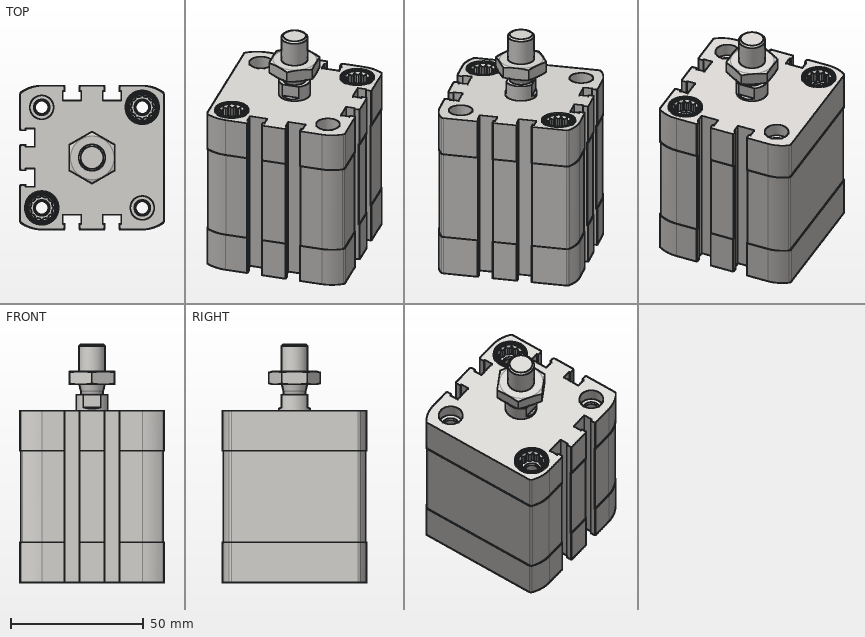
import cadquery as cq
import math

total_height = 90.1

width = 54.5
body_height = 65.05
cap_height = 15.2
barrel_inset = 0.3
corner_drop = 2.8
corner_edge_radius = 1.2

slot_spacing = 15.1
slot_mouth_width = 5.5
slot_mouth_radius = 0.3
slot_inner_width = 6.85
slot_lip_depth = 2.2
slot_depth = 5.6

hole_spacing = 38.0
through_diameter = 5.0
countersink_diameter = 6.0
counterbore_diameter = 9.0
counterbore_depth = 5.05

sleeve_bore_diameter = 12.8
sleeve_diameter = 11.9
sleeve_crest_diameter = 11.0
sleeve_gap_depth = 0.7
sleeve_recess = 0.3
socket_entry_diameter = 10.0
socket_entry_depth = 1.35
socket_tip_diameter = 8.2
socket_root_diameter = 9.4
socket_teeth = 12
tooth_tip_half_angle = 6.0

rod_diameter = 12.0
rod_collar_height = 6.0
rod_insertion = cap_height
flats_width = 10.0
flats_start = 0.7
flats_runout = 0.5
neck_base_diameter = 8.65
neck_diameter = 8.5
neck_top_diameter = 8.6
neck_base_taper_length = 0.6
neck_straight_length = 0.5
neck_top_taper_length = 0.3
flare_top_diameter = 9.7
thread_diameter = 10.0
thread_chamfer = 0.7

nut_sides = 6
nut_width = 17.0
nut_height = 5.0
nut_start = 9.9
nut_face_diameter = 16.5
nut_chamfer_angle = 15.0

half_width = width / 2
hole_offset = hole_spacing / 2
collar_top = body_height + rod_collar_height
nut_bottom = body_height + nut_start
nut_top = nut_bottom + nut_height
plain_hole_corners = [(-hole_offset, hole_offset), (hole_offset, -hole_offset)]
sleeve_corners = [(-hole_offset, -hole_offset), (hole_offset, hole_offset)]
slotted_face_angles = [0, 180, -90]


def cylinder(diameter, bottom, top):
    return cq.Workplane("XY").workplane(offset=bottom).circle(diameter / 2).extrude(top - bottom)


def cone(bottom_diameter, top_diameter, bottom, top):
    return cq.Workplane(
        cq.Solid.makeCone(
            bottom_diameter / 2, top_diameter / 2, top - bottom, cq.Vector(0, 0, bottom)
        )
    )


def outline_prism(inset, bottom, height):
    """Square prism whose corners are broad arcs tangent to the Y faces, its faces moved in by inset."""
    side = half_width - inset
    arc_end_y = half_width - corner_drop
    run = side - hole_offset
    drop = side - arc_end_y
    radius = (run**2 + drop**2) / (2 * drop)
    middle_angle = math.asin(run / radius) / 2
    arc_middle = (
        hole_offset + radius * math.sin(middle_angle),
        side - radius * (1 - math.cos(middle_angle)),
    )
    blank = cq.Workplane("XY").box(2 * side, 2 * side, height, centered=(True, True, False))
    corner_waste = (
        cq.Workplane("XY")
        .moveTo(hole_offset, side)
        .threePointArc(arc_middle, (side, arc_end_y))
        .lineTo(side, side)
        .close()
        .extrude(height)
    )
    upper_waste = corner_waste.union(corner_waste.mirror("YZ"))
    blank = blank.cut(upper_waste).cut(upper_waste.mirror("XZ"))
    blank = blank.edges("|Z").edges("<X or >X").fillet(corner_edge_radius)
    return blank.translate((0, 0, bottom))


def slot_cutter(inset, bottom, height):
    """T slot with a rounded mouth, opening on the -Y face and centred on X = 0."""
    face_y = inset - half_width
    lip_y = slot_lip_depth - half_width
    floor_y = slot_depth - half_width
    mouth = slot_mouth_width / 2
    flare = mouth + slot_mouth_radius
    inner = slot_inner_width / 2
    return (
        cq.Workplane("XY")
        .workplane(offset=bottom)
        .moveTo(-flare, face_y)
        .radiusArc((-mouth, face_y + slot_mouth_radius), slot_mouth_radius)
        .lineTo(-mouth, lip_y)
        .lineTo(-inner, lip_y)
        .lineTo(-inner, floor_y)
        .lineTo(inner, floor_y)
        .lineTo(inner, lip_y)
        .lineTo(mouth, lip_y)
        .lineTo(mouth, face_y + slot_mouth_radius)
        .radiusArc((flare, face_y), slot_mouth_radius)
        .close()
        .extrude(height)
    )


def housing_section(inset, bottom, height):
    section = outline_prism(inset, bottom, height)
    cutter = slot_cutter(inset, bottom, height)
    for angle in slotted_face_angles:
        for slot_x in (-slot_spacing / 2, slot_spacing / 2):
            slot = cutter.translate((slot_x, 0, 0)).rotate((0, 0, 0), (0, 0, 1), angle)
            section = section.cut(slot)
    return section


def through_hole(floor_z):
    """Through hole with a 45 degree countersink in a floor at floor_z."""
    sink_depth = (countersink_diameter - through_diameter) / 2
    hole = cylinder(through_diameter, 0, floor_z)
    return hole.union(cone(through_diameter, countersink_diameter, floor_z - sink_depth, floor_z))


def plain_corner_hole():
    floor_z = body_height - counterbore_depth
    return through_hole(floor_z).union(cylinder(counterbore_diameter, floor_z, body_height))


def socket_prism(bottom, top):
    """Toothed socket: flat tooth tips between V-shaped roots."""
    pitch = 360 / socket_teeth
    points = []
    for tooth in range(socket_teeth):
        root_angle = tooth * pitch
        tip_angle = root_angle + pitch / 2
        for radius, angle in (
            (socket_root_diameter / 2, root_angle),
            (socket_tip_diameter / 2, tip_angle - tooth_tip_half_angle),
            (socket_tip_diameter / 2, tip_angle + tooth_tip_half_angle),
        ):
            turn = math.radians(angle)
            points.append((radius * math.cos(turn), radius * math.sin(turn)))
    return cq.Workplane("XY").workplane(offset=bottom).polyline(points).close().extrude(top - bottom)


def sleeve_corner_hole():
    """Cutter that leaves a bevelled sleeve crest around a toothed socket."""
    floor_z = body_height - counterbore_depth
    gap_z = body_height - sleeve_gap_depth
    crest_z = body_height - sleeve_recess
    entry_z = body_height - socket_entry_depth
    sleeve_top = cone(sleeve_diameter, sleeve_crest_diameter, gap_z, crest_z)
    around_sleeve = cylinder(sleeve_bore_diameter, gap_z, crest_z).cut(sleeve_top)
    entry = cone(socket_tip_diameter, socket_entry_diameter, entry_z, crest_z)
    above_crest = cylinder(sleeve_bore_diameter, crest_z, body_height)
    socket = socket_prism(floor_z, crest_z).union(entry)
    return through_hole(floor_z).union(socket).union(around_sleeve).union(above_crest)


def make_housing():
    barrel_height = body_height - 2 * cap_height
    housing = housing_section(0, 0, cap_height)
    housing = housing.union(housing_section(barrel_inset, cap_height, barrel_height))
    housing = housing.union(housing_section(0, body_height - cap_height, cap_height))
    for x, y in plain_hole_corners:
        housing = housing.cut(plain_corner_hole().translate((x, y, 0)))
    for x, y in sleeve_corners:
        housing = housing.cut(sleeve_corner_hole().translate((x, y, 0)))
    return housing.cut(cylinder(rod_diameter, body_height - rod_insertion, body_height))


def flat_cutter():
    """Removes the rod beyond the flat on its -Y side, the lower end of the flat sloping outwards."""
    flat_y = -flats_width / 2
    surface_y = -rod_diameter / 2
    start_z = body_height + flats_start
    return (
        cq.Workplane("YZ")
        .moveTo(surface_y, start_z)
        .lineTo(flat_y, start_z + flats_runout)
        .lineTo(flat_y, collar_top)
        .lineTo(surface_y, collar_top)
        .close()
        .extrude(rod_diameter / 2, both=True)
    )


def make_rod():
    waist_bottom = collar_top + neck_base_taper_length
    waist_top = waist_bottom + neck_straight_length
    flare_bottom = waist_top + neck_top_taper_length
    rod = (
        cq.Workplane("XZ")
        .moveTo(0, body_height - rod_insertion)
        .lineTo(rod_diameter / 2, body_height - rod_insertion)
        .lineTo(rod_diameter / 2, collar_top)
        .lineTo(neck_base_diameter / 2, collar_top)
        .lineTo(neck_diameter / 2, waist_bottom)
        .lineTo(neck_diameter / 2, waist_top)
        .lineTo(neck_top_diameter / 2, flare_bottom)
        .lineTo(flare_top_diameter / 2, nut_bottom)
        .lineTo(thread_diameter / 2, nut_bottom)
        .lineTo(thread_diameter / 2, total_height - thread_chamfer)
        .lineTo(thread_diameter / 2 - thread_chamfer, total_height)
        .lineTo(0, total_height)
        .close()
        .revolve(360, (0, 0, 0), (0, 1, 0))
    )
    flat = flat_cutter()
    return rod.cut(flat).cut(flat.mirror("XZ"))


def make_nut():
    """Hexagon with corners on the Y axis, both ends bevelled by a cone."""
    corner_diameter = nut_width / math.cos(math.pi / nut_sides)
    bevel_height = (corner_diameter - nut_face_diameter) / 2 * math.tan(math.radians(nut_chamfer_angle))
    hexagon = (
        cq.Workplane("XY")
        .workplane(offset=nut_bottom)
        .polygon(nut_sides, corner_diameter)
        .extrude(nut_height)
        .rotate((0, 0, 0), (0, 0, 1), 180 / nut_sides)
    )
    bevels = (
        cone(nut_face_diameter, corner_diameter, nut_bottom, nut_bottom + bevel_height)
        .union(cylinder(corner_diameter, nut_bottom + bevel_height, nut_top - bevel_height))
        .union(cone(corner_diameter, nut_face_diameter, nut_top - bevel_height, nut_top))
    )
    return hexagon.intersect(bevels).cut(cylinder(thread_diameter, nut_bottom, nut_top))


housing = make_housing()
rod = make_rod()
nut = make_nut()

result = cq.Compound.makeCompound([housing.val(), rod.val(), nut.val()])